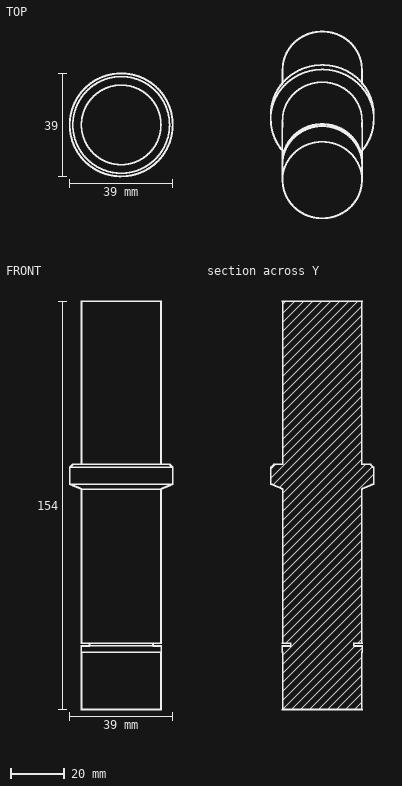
import cadquery as cq

length = 154.0
shaft_radius = 30.0 / 2

collar_radius = 39.0 / 2
collar_top = 92.5
collar_top_chamfer = 1.2
collar_rim_bottom = 85.0
collar_cone_bottom = 83.2

groove_radius = 12.0
groove_top = 25.0
groove_bottom = 24.0
band_bottom = 21.7
band_height = 0.2


def make_cylinder(radius, bottom, top):
    return cq.Workplane("XY", origin=(0, 0, bottom)).circle(radius).extrude(top - bottom)


def make_collar():
    half_profile = [
        (0, collar_cone_bottom),
        (shaft_radius, collar_cone_bottom),
        (collar_radius, collar_rim_bottom),
        (collar_radius, collar_top - collar_top_chamfer),
        (collar_radius - collar_top_chamfer, collar_top),
        (0, collar_top),
    ]
    return cq.Workplane("XZ").polyline(half_profile).close().revolve(360, (0, 0), (0, 1))


def make_groove():
    outside = make_cylinder(collar_radius, groove_bottom, groove_top)
    core = make_cylinder(groove_radius, groove_bottom, groove_top)
    return outside.cut(core)


shaft = make_cylinder(shaft_radius, 0, length)
band = make_cylinder(shaft_radius + band_height, band_bottom, groove_bottom)
result = shaft.union(make_collar()).union(band).cut(make_groove())